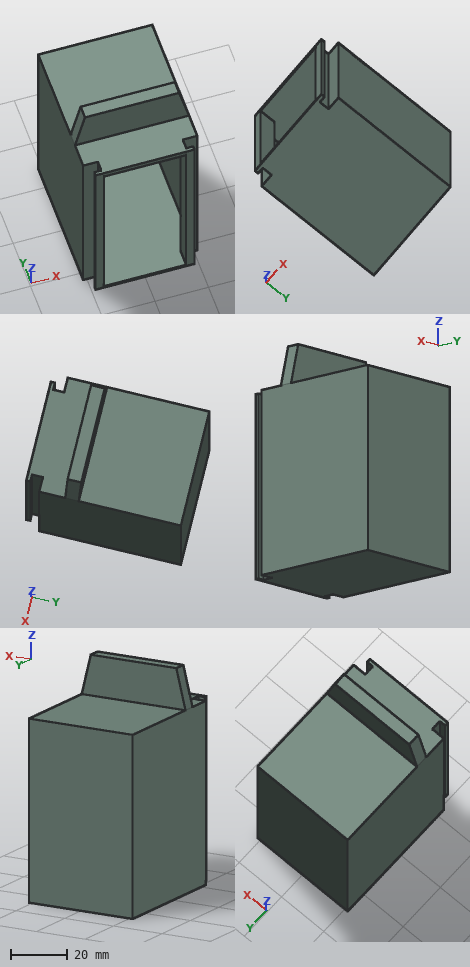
import cadquery as cq

body_width = 42.7
body_depth = 51.8
body_height = 68.0
side_wall = 1.0
floor_thickness = 0.8
roof_thickness = 2.0

total_depth = 57.3
flange_thickness = 1.5
neck_width = 31.8
flange_width = 36.9
opening_width = 30.7

total_height = 83.0
grip_thickness = 5.0
grip_setback = 14.9
grip_side_inset = 3.7

body_front = total_depth - body_depth
cavity_height = body_height - floor_thickness - roof_thickness
cavity_front = body_front + side_wall
cavity_back = total_depth - side_wall


def block(width, front, back, height, bottom=0):
    """Box centred on X, spanning front to back in Y and rising from bottom."""
    return (
        cq.Workplane("XY")
        .box(width, back - front, height, centered=(True, False, False))
        .translate((0, front, bottom))
    )


def make_shell():
    body = block(body_width, body_front, total_depth, body_height)
    neck = block(neck_width, 0, body_front, body_height)
    flange = block(flange_width, 0, flange_thickness, body_height)
    return body.union(neck).union(flange)


def make_cavity():
    cavity_width = body_width - 2 * side_wall
    chamber = block(cavity_width, cavity_front, cavity_back, cavity_height, floor_thickness)
    opening = block(opening_width, 0, cavity_front, cavity_height, floor_thickness)
    return chamber.union(opening)


def make_grip():
    half_base = body_width / 2
    half_top = half_base - grip_side_inset
    return (
        cq.Workplane("XZ", origin=(0, grip_setback, 0))
        .polyline([
            (-half_base, body_height),
            (half_base, body_height),
            (half_top, total_height),
            (-half_top, total_height),
        ])
        .close()
        .extrude(-grip_thickness)
    )


result = make_shell().cut(make_cavity()).union(make_grip())